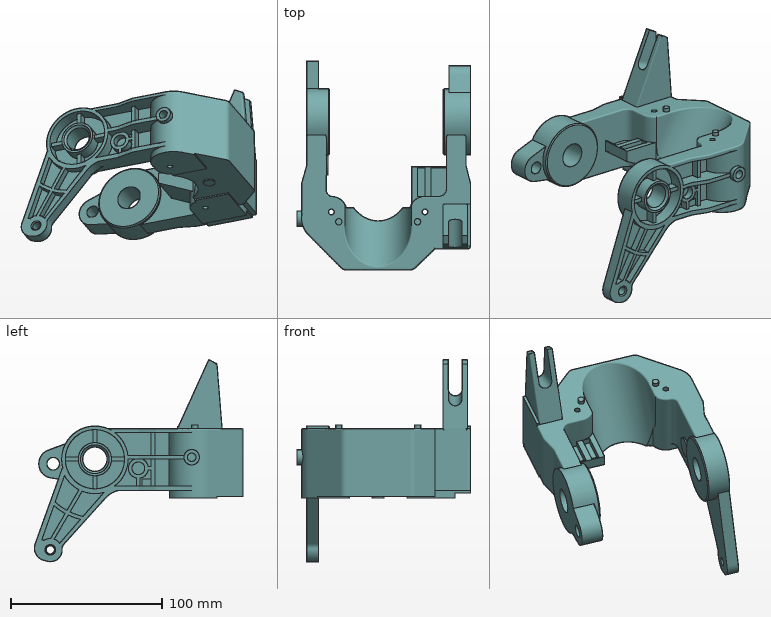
import cadquery as cq
import math


top_z = 20.2
arm_bottom_z = -20.8
front_bottom_z = -24.7
lobe_bottom_z = -25.7
front_y = -98.2
back_y = -56.8
front_half_width = 23.1
left_x = -50.7
right_x = 61.2
column_radius = 15.2
column_x = left_x + column_radius
column_y = -64.1
front_corner_round = 4.8
lobe_x = 31.0
lobe_radius = 10.3
lobe_hole_y = -59.7
lobe_back_y = lobe_hole_y + lobe_radius
lobe_plate_inner_x = 19.0
lobe_plate_outer_x = 51.0
lobe_plate_front_y = -80.9
top_round = 1.0

left_arm_outer_x = -47.4
left_arm_inner_x = -34.3
right_arm_inner_x = 45.2
right_arm_outer_x = 58.2
arm_end_y = -6.0
flare_start_y = -29.0
flare_end_y = -40.8
left_neck_radius = 4.0
right_neck_radius = 5.0

saddle_radius = 22.0
saddle_tilt = 34.2
saddle_top_y = -69.5

hub_radius = 22.0
left_hub_inner_x = -32.1
right_hub_inner_x = 43.0
bore_radius = 8.0
bore_chamfer = 1.5
hub_recess_radius = 19.6
hub_boss_radius = 11.0
web_outer_x = -38.0
rib_width = 2.6
hub_rib_drop = 3.0
hub_edge_chamfer = 0.8

lever_hole_y = 29.5
lever_hole_z = -60.0
lever_hole_radius = 2.7
lever_hole_chamfer = 0.8
lever_end_radius = 7.9
lever_heel_y = 31.7
lever_heel_z = -58.9
lever_heel_radius = 8.4
lever_inner_x = -39.5
lever_neck_angle = 164.0
lever_neck_round = 4.0
lever_throat_y, lever_throat_z = -7.0, -25.8
lever_root_radius = 18.3
lever_root_y = -23.0
lever_floor_x = -42.5
lever_pocket_inner = 22.8
lever_pocket_end_gap = 7.5
lever_pocket_corners = ((16.3, 0), (35.1, -53.3), (24.5, -57.0), (-6.0, -22.0))
lever_cross_rib_radius = 39.8
lever_rib_width = 2.3
lever_rib_y, lever_rib_z = 9.3, -20.4
lever_rib_angle = -59.8

ear_y, ear_z = 27.6, -3.0
ear_radius = 9.6
ear_hole_radius = 4.1
ear_inner_x = 46.8
ear_root_radius = 16.5

flange_thickness = 2.6
lower_flange_thickness = 3.1
low_rib_drop = 4.0
cross_rib_y = -38.5
mid_rib_z = 1.3
side_boss_y, side_boss_z = column_y, 1.3
side_boss_radius = 5.1
side_boss_hole_radius = 2.8
side_boss_x = -53.8
side_boss_length = 12.0
side_boss_hole_depth = 10.0
web_boss_y, web_boss_z = -28.8, -6.0
web_boss_radius = 6.6
web_boss_hole_radius = 4.2
web_boss_inner_x = -33.2
web_boss_hole_depth = 9.0
web_boss_rib = 2.2
web_pad_width, web_pad_height, web_pad_depth = 7.2, 4.5, 3.0

block_left_x = 37.6
block_front_y = -84.3
block_side_bottom_z = -22.4
block_corner_round = 2.0
horn_left_x, horn_right_x = 42.9, 59.2
horn_back_y = -54.6
horn_tip_back_y, horn_tip_back_z = -75.4, 66.01
horn_tip_front_y, horn_tip_front_z = -80.9, 63.1
horn_edge_round = 0.8
fork_width = 9.0
fork_front_floor_z = 35.6
fork_tilt = 20.0
fork_front_y = -82.4
rim_height = 1.4

bracket_inner_x = 22.2
bracket_back_y = -29.7
bracket_front_y = -57.5
bracket_top_z = 1.9
bracket_back_bottom_z = -5.4
bracket_front_bottom_z = -18.2
bracket_channels = ((26.0, 31.0), (35.0, right_arm_inner_x))
bracket_channel_depth = 4.0
bracket_end_wall = 1.0

pin_x, pin_y = 26.1, -66.2
pin_radius = 2.1
pin_height = 2.5
lobe_hole_radius = 1.8
button_radius = 4.0
button_y = -75.0

overlap = 1.0


def box(x0, x1, y0, y1, z0, z1):
    """Box between opposite corners."""
    return cq.Workplane("XY").box(x1 - x0, y1 - y0, z1 - z0, centered=False).translate((x0, y0, z0))


def side_plane(x):
    """Sketch plane across X whose local axes are Y and Z."""
    return cq.Workplane("YZ", origin=(x, 0, 0))


def rod(y, z, radius, x0, x1):
    """Cylinder along X."""
    return side_plane(x0).center(y, z).circle(radius).extrude(x1 - x0)


def post(x, y, radius, z0, z1):
    """Cylinder along Z."""
    return cq.Workplane("XY", origin=(x, y, z0)).circle(radius).extrude(z1 - z0)


def on_circle(centre, radius, angle):
    """Point on a circle at an angle in radians."""
    return (centre[0] + radius * math.cos(angle), centre[1] + radius * math.sin(angle))


def tangent_angles(c0, r0, c1, r1):
    """Angles of the two outer tangents of a pair of circles, left one first."""
    heading = math.atan2(c1[1] - c0[1], c1[0] - c0[0])
    spread = math.acos((r0 - r1) / math.hypot(c1[0] - c0[0], c1[1] - c0[1]))
    return heading + spread, heading - spread


def plan_outline(z0, z1):
    """Yoke seen from above: two arms, two lobes and the faceted front."""
    diagonal = math.sqrt(0.5)
    column_mid = math.radians(202.5)
    neck_x = left_arm_inner_x + left_neck_radius
    neck_dx = neck_x + lobe_x
    neck_y = lobe_hole_y + math.sqrt((lobe_radius + left_neck_radius) ** 2 - neck_dx ** 2)
    meet = lobe_radius / (lobe_radius + left_neck_radius)
    meet_point = (-lobe_x + neck_dx * meet, lobe_hole_y + (neck_y - lobe_hole_y) * meet)
    lobe_reach = math.sqrt(lobe_radius ** 2 - (back_y - lobe_hole_y) ** 2)
    lobe_diagonal = lobe_radius * diagonal
    flat_end_x = right_arm_inner_x - right_neck_radius
    neck_mid = right_neck_radius * diagonal
    return (
        cq.Workplane("XY", origin=(0, 0, z0))
        .moveTo(left_arm_outer_x, arm_end_y)
        .lineTo(left_arm_outer_x, flare_start_y)
        .lineTo(left_x, flare_end_y)
        .lineTo(left_x, column_y)
        .threePointArc(
            on_circle((column_x, column_y), column_radius, column_mid),
            (column_x - column_radius * diagonal, column_y - column_radius * diagonal),
        )
        .lineTo(-front_half_width, front_y)
        .lineTo(front_half_width, front_y)
        .lineTo(block_left_x, block_front_y)
        .lineTo(right_x, block_front_y)
        .lineTo(right_x, flare_end_y)
        .lineTo(right_arm_outer_x, flare_start_y)
        .lineTo(right_arm_outer_x, arm_end_y)
        .lineTo(right_arm_inner_x, arm_end_y)
        .lineTo(right_arm_inner_x, lobe_back_y + right_neck_radius)
        .threePointArc(
            (flat_end_x + neck_mid, lobe_back_y + right_neck_radius - neck_mid),
            (flat_end_x, lobe_back_y),
        )
        .lineTo(lobe_x, lobe_back_y)
        .threePointArc((lobe_x - lobe_diagonal, lobe_hole_y + lobe_diagonal), (lobe_x - lobe_reach, back_y))
        .lineTo(lobe_reach - lobe_x, back_y)
        .threePointArc((lobe_diagonal - lobe_x, lobe_hole_y + lobe_diagonal), meet_point)
        .threePointArc(
            (neck_x - left_neck_radius * diagonal, neck_y - left_neck_radius * diagonal),
            (left_arm_inner_x, neck_y),
        )
        .lineTo(left_arm_inner_x, arm_end_y)
        .close()
        .extrude(z1 - z0)
    )


def rounded_outline(z0, z1):
    """Yoke outline with its sharp front corners rounded."""
    corners = (
        (-front_half_width, front_y, front_corner_round),
        (front_half_width, front_y, front_corner_round),
        (right_x, block_front_y, block_corner_round),
    )
    outline = plan_outline(z0, z1)
    for x, y, radius in corners:
        nearest = cq.NearestToPointSelector((x, y, (z0 + z1) / 2))
        outline = outline.edges("|Z").edges(nearest).fillet(radius)
    return outline


def saddle_cut():
    """Leaning cylinder, opened toward the rear."""
    reach = 120
    tilt = math.radians(saddle_tilt)
    axis = cq.Plane(
        origin=(0, saddle_top_y, top_z),
        xDir=(1, 0, 0),
        normal=(0, -math.sin(tilt), math.cos(tilt)),
    )
    bore = cq.Workplane(axis).circle(saddle_radius)
    opening = cq.Workplane(axis).center(0, reach / 2).rect(2 * saddle_radius, reach)
    return bore.extrude(reach / 2, both=True).union(opening.extrude(reach / 2, both=True))


def yoke_body():
    """Arms and front part, with the deeper front underside and rounded top edges."""
    body = rounded_outline(arm_bottom_z, top_z)
    deep = rounded_outline(lobe_bottom_z, arm_bottom_z)
    front_zone = box(left_x, lobe_plate_outer_x, front_y, lobe_back_y, front_bottom_z, arm_bottom_z)
    for x0, x1 in ((left_x, -lobe_plate_inner_x), (lobe_plate_inner_x, lobe_plate_outer_x)):
        front_zone = front_zone.union(
            box(x0, x1, lobe_plate_front_y, lobe_back_y, lobe_bottom_z, arm_bottom_z)
        )
    front_zone = front_zone.cut(
        box(left_x, column_x, column_y, lobe_back_y, lobe_bottom_z, arm_bottom_z).cut(
            post(column_x, column_y, column_radius, lobe_bottom_z, arm_bottom_z)
        )
    )
    front_zone = front_zone.cut(
        box(block_left_x, right_x, block_front_y, lobe_plate_front_y, lobe_bottom_z, arm_bottom_z)
    )
    body = body.union(deep.intersect(front_zone))
    body = body.union(
        box(lobe_plate_outer_x, right_x, lobe_plate_front_y, lobe_back_y, block_side_bottom_z, arm_bottom_z)
    )
    body = body.cut(saddle_cut())
    return body.faces(">Z").edges().fillet(top_round)


def left_arm_ribs():
    """Ribs and web boss left standing in the arm pocket."""
    half = rib_width / 2
    low_x = left_arm_outer_x + low_rib_drop
    ribs = box(left_x, web_outer_x, side_boss_y, -hub_recess_radius, mid_rib_z - half, mid_rib_z + half)
    ribs = ribs.union(
        box(low_x, web_outer_x, cross_rib_y - half, cross_rib_y + half, arm_bottom_z, top_z - top_round)
    )
    thin = web_boss_rib / 2
    ribs = ribs.union(
        box(low_x, web_outer_x, web_boss_y - thin, web_boss_y + thin, arm_bottom_z, web_boss_z)
    )
    ribs = ribs.union(
        box(low_x, web_outer_x, cross_rib_y, web_boss_y, web_boss_z - thin, web_boss_z + thin)
    )
    pad_z = arm_bottom_z + lower_flange_thickness
    ribs = ribs.union(
        box(web_outer_x - web_pad_depth, web_outer_x, cross_rib_y, cross_rib_y + web_pad_width,
            pad_z, pad_z + web_pad_height)
    )
    return ribs.union(rod(web_boss_y, web_boss_z, web_boss_radius, low_x, web_outer_x))


def left_arm_pocket():
    """Open pocket in the outer face of the left arm, ending on the rounded column."""
    pocket = box(
        left_x, web_outer_x, column_y, arm_end_y,
        arm_bottom_z + lower_flange_thickness, top_z - flange_thickness,
    )
    pocket = pocket.cut(post(column_x, column_y, column_radius, arm_bottom_z, top_z))
    return pocket.cut(rod(0, 0, hub_radius, left_x, 0)).cut(left_arm_ribs())


def lever_body():
    """Left hub and the lever running down from it to the end hole."""
    hub, heel, end = (0, 0), (lever_heel_y, lever_heel_z), (lever_hole_y, lever_hole_z)
    outer, _ = tangent_angles(hub, lever_root_radius, heel, lever_heel_radius)
    toe, _ = tangent_angles(heel, lever_heel_radius, end, lever_end_radius)
    neck = math.radians(lever_neck_angle)
    neck_point = on_circle(end, lever_end_radius, neck)
    plate = (
        side_plane(left_arm_outer_x)
        .moveTo(*hub)
        .lineTo(*on_circle(hub, lever_root_radius, outer))
        .lineTo(*on_circle(heel, lever_heel_radius, outer))
        .threePointArc(
            on_circle(heel, lever_heel_radius, (outer + toe) / 2),
            on_circle(heel, lever_heel_radius, toe),
        )
        .lineTo(*on_circle(end, lever_end_radius, toe))
        .threePointArc(on_circle(end, lever_end_radius, (toe + neck) / 2 - math.pi), neck_point)
        .lineTo(lever_throat_y, lever_throat_z)
        .tangentArcPoint((lever_root_y, arm_bottom_z), relative=False)
        .close()
        .extrude(lever_inner_x - left_arm_outer_x)
    )
    neck_edge = cq.NearestToPointSelector((lever_inner_x, *neck_point))
    plate = plate.edges("|X").edges(neck_edge).fillet(lever_neck_round)
    hub_drum = rod(0, 0, hub_radius, left_arm_outer_x, left_hub_inner_x)
    return plate.union(hub_drum.faces(">X").chamfer(hub_edge_chamfer))


def right_hub():
    """Right hub with the pierced ear on its rear side."""
    hub, ear = (0, 0), (ear_y, ear_z)
    upper, lower = tangent_angles(hub, ear_root_radius, ear, ear_radius)
    plate = (
        side_plane(ear_inner_x)
        .moveTo(*hub)
        .lineTo(*on_circle(hub, ear_root_radius, upper))
        .lineTo(*on_circle(ear, ear_radius, upper))
        .threePointArc(
            on_circle(ear, ear_radius, (upper + lower) / 2),
            on_circle(ear, ear_radius, lower),
        )
        .lineTo(*on_circle(hub, ear_root_radius, lower))
        .close()
        .extrude(right_x - ear_inner_x)
    )
    hub_drum = rod(0, 0, hub_radius, right_hub_inner_x, right_x)
    return plate.union(hub_drum.faces("<X").chamfer(hub_edge_chamfer))


def lever_pockets():
    """Four pockets split by a lengthwise rib and a curved cross rib."""
    x0, x1 = left_arm_outer_x, lever_floor_x
    depth = x1 - x0
    field = (
        side_plane(x0)
        .polyline([(0, 0), *lever_pocket_corners])
        .close()
        .extrude(depth)
    )
    field = field.cut(rod(0, 0, lever_pocket_inner, x0, x1))
    field = field.cut(rod(lever_hole_y, lever_hole_z, lever_pocket_end_gap, x0, x1))
    half = lever_rib_width / 2
    cross = (
        side_plane(x0)
        .circle(lever_cross_rib_radius + half)
        .circle(lever_cross_rib_radius - half)
        .extrude(depth)
    )
    reach = lever_cross_rib_radius
    rib = box(x0, x1, -reach, reach, -half, half).rotate((0, 0, 0), (1, 0, 0), lever_rib_angle)
    rib = rib.translate((0, lever_rib_y, lever_rib_z))
    return field.cut(cross).cut(rib)


def hub_recess():
    """Annular recess around the left bore, crossed by four ribs."""
    recess = (
        side_plane(left_arm_outer_x)
        .circle(hub_recess_radius)
        .circle(hub_boss_radius)
        .extrude(web_outer_x - left_arm_outer_x)
    )
    rib_top_x = left_arm_outer_x + hub_rib_drop
    half, reach = rib_width / 2, hub_radius
    recess = recess.cut(box(rib_top_x, web_outer_x, -half, half, -reach, reach))
    return recess.cut(box(rib_top_x, web_outer_x, -reach, reach, -half, half))


def hole_mouth(y, z, radius, chamfer):
    """Conical lead-in on the outer end of a hole in the left arm."""
    return cq.Workplane(
        cq.Solid.makeCone(
            radius + chamfer, radius, chamfer,
            pnt=cq.Vector(left_arm_outer_x, y, z), dir=cq.Vector(1, 0, 0),
        )
    )


def horn():
    """Tapered horn with a round-bottomed fork slot and a raised edge beside it."""
    width = horn_right_x - horn_left_x
    root_z = top_z - 2 * top_round
    blade = (
        side_plane(horn_left_x)
        .polyline([
            (horn_back_y, top_z),
            (horn_tip_back_y, horn_tip_back_z),
            (horn_tip_front_y, horn_tip_front_z),
            (block_front_y, top_z),
            (block_front_y, root_z),
            (horn_back_y, root_z),
        ])
        .close()
        .extrude(width)
    )
    blade = blade.faces("<X or >X").edges().fillet(horn_edge_round)
    radius = fork_width / 2
    middle = (horn_left_x + horn_right_x) / 2
    tilt = math.radians(fork_tilt)
    slot_plane = cq.Plane(
        origin=(middle, fork_front_y, fork_front_floor_z),
        xDir=(1, 0, 0),
        normal=(0, -math.cos(tilt), -math.sin(tilt)),
    )
    slot_height = horn_tip_back_z
    slot = (
        cq.Workplane(slot_plane)
        .moveTo(-radius, slot_height)
        .lineTo(-radius, radius)
        .threePointArc((0, 0), (radius, radius))
        .lineTo(radius, slot_height)
        .close()
        .extrude(slot_height, both=True)
    )
    rim_front_y = block_front_y + block_corner_round
    side_rim = box(horn_right_x, right_x, rim_front_y, horn_back_y, top_z - overlap, top_z + rim_height)
    return blade.cut(slot).union(side_rim)


def bracket():
    """Stepped bracket inside the right arm with a sloping underside."""
    x0, x1 = bracket_inner_x, right_arm_inner_x + overlap
    shape = (
        side_plane(x0)
        .polyline([
            (bracket_back_y, bracket_top_z),
            (bracket_back_y, bracket_back_bottom_z),
            (bracket_front_y, bracket_front_bottom_z),
            (bracket_front_y, bracket_top_z),
        ])
        .close()
        .extrude(x1 - x0)
    )
    floor_z = bracket_top_z - bracket_channel_depth
    for c0, c1 in bracket_channels:
        shape = shape.cut(
            box(c0, c1, lobe_back_y, bracket_back_y - bracket_end_wall, floor_z, bracket_top_z)
        )
    return shape.cut(saddle_cut())


part = yoke_body()
part = part.union(lever_body())
part = part.union(right_hub())
part = part.cut(left_arm_pocket()).cut(lever_pockets()).cut(hub_recess())
part = part.union(
    rod(side_boss_y, side_boss_z, side_boss_radius, side_boss_x, side_boss_x + side_boss_length)
)
part = part.union(rod(web_boss_y, web_boss_z, web_boss_radius, web_outer_x, web_boss_inner_x))
part = part.union(bracket()).union(horn())
for side in (-1, 1):
    part = part.union(post(side * pin_x, pin_y, pin_radius, top_z - overlap, top_z + pin_height))
    part = part.cut(post(side * lobe_x, lobe_hole_y, lobe_hole_radius, lobe_bottom_z, top_z))
part = part.union(post(0, button_y, button_radius, lobe_bottom_z, front_bottom_z))

part = part.cut(rod(0, 0, bore_radius, left_x, right_x))
part = part.cut(rod(lever_hole_y, lever_hole_z, lever_hole_radius, left_x, left_hub_inner_x))
part = part.cut(hole_mouth(0, 0, bore_radius, bore_chamfer))
part = part.cut(hole_mouth(lever_hole_y, lever_hole_z, lever_hole_radius, lever_hole_chamfer))
part = part.cut(rod(ear_y, ear_z, ear_hole_radius, ear_inner_x, right_x))
part = part.cut(
    rod(side_boss_y, side_boss_z, side_boss_hole_radius, side_boss_x, side_boss_x + side_boss_hole_depth)
)
part = part.cut(
    rod(web_boss_y, web_boss_z, web_boss_hole_radius, left_x, left_arm_outer_x + web_boss_hole_depth)
)

result = part